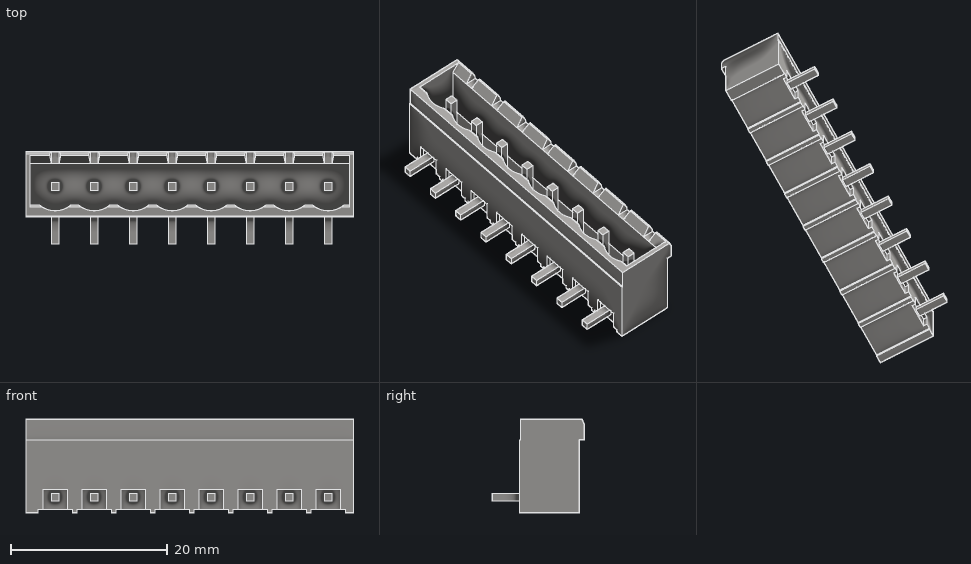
import cadquery as cq

length = 42.0
height = 12.0
lower_back = 7.7
collar_height = 2.65
collar_bottom = height - collar_height
collar_front = 0.12
collar_back = 8.35
back_bevel_depth = 0.3
back_bevel_height = 0.7

pin_count = 8
pitch = 5.0
first_pin_x = 3.75
pin_width = 1.0
pin_y = 3.9
pin_top = 10.4
tail_z = 2.0
tail_tip_y = -3.5
pin_positions = [first_pin_x + pitch * i for i in range(pin_count)]

end_wall = 0.55
cavity_floor = 4.0
cavity_front = 1.5
cavity_back = 6.85
scallop_radius = 3.12
front_lead_in_depth = 0.25
front_lead_in_height = 0.3
back_lip = 0.5
back_slope_bottom = 10.9

slot_bottom_width = 1.0
slot_top_width = 1.4

pocket_width = 3.1
pocket_top = 2.95
pocket_depth = 0.5
foot_width = 0.6
foot_height = 0.4

overcut = 1.0


def box(x_range, y_range, z_range):
    """Box given by its two limits along each axis."""
    limits = (x_range, y_range, z_range)
    sizes = [high - low for low, high in limits]
    corner = tuple(low for low, high in limits)
    return cq.Workplane("XY").box(*sizes, centered=False).translate(corner)


def around(center, width):
    """Limits of a span of the given width about its center."""
    return (center - width / 2, center + width / 2)


def extrude_profile(points, x_range):
    """Prism along X from a list of (Y, Z) points."""
    start, end = x_range
    return cq.Workplane("YZ").workplane(offset=start).polyline(points).close().extrude(end - start)


def make_housing():
    outline = [
        (0, 0),
        (0, collar_bottom),
        (collar_front, collar_bottom),
        (collar_front, height),
        (collar_back - back_bevel_depth, height),
        (collar_back, height - back_bevel_height),
        (collar_back, collar_bottom),
        (lower_back, collar_bottom),
        (lower_back, 0),
    ]
    return extrude_profile(outline, (0, length))


def make_scallop(x):
    """Round relief in the front wall, centered on a contact and kept to the front of it."""
    depth = height - cavity_floor
    cylinder = cq.Workplane("XY", origin=(x, pin_y, cavity_floor)).circle(scallop_radius).extrude(depth)
    front_part = box((end_wall, length - end_wall), (0, pin_y), (cavity_floor, height))
    return cylinder.intersect(front_part)


def make_cavity():
    outline = [
        (cavity_front, cavity_floor),
        (cavity_front, height - front_lead_in_height),
        (cavity_front - front_lead_in_depth, height),
        (collar_back - back_lip, height),
        (cavity_back, back_slope_bottom),
        (cavity_back, cavity_floor),
    ]
    cavity = extrude_profile(outline, (end_wall, length - end_wall))
    for x in pin_positions:
        cavity = cavity.union(make_scallop(x))
    return cavity


def make_back_slot(x):
    bottom_left, bottom_right = around(x, slot_bottom_width)
    top_left, top_right = around(x, slot_top_width)
    outline = [
        (bottom_left, back_slope_bottom),
        (bottom_right, back_slope_bottom),
        (top_right, height),
        (top_left, height),
    ]
    slot = cq.Workplane("XZ", origin=(0, collar_back, 0)).polyline(outline).close()
    return slot.extrude(collar_back - cavity_back)


def make_tail_pocket(x):
    return box(around(x, pocket_width), (-overcut, pocket_depth), (-overcut, pocket_top))


def make_foot_gap(x):
    y_range = (-overcut, lower_back + overcut)
    return box(around(x, pitch - foot_width), y_range, (-overcut, foot_height))


def make_pin(x):
    """Right-angle contact: a vertical post joined to a horizontal tail."""
    x_range = around(x, pin_width)
    tail_bottom = tail_z - pin_width / 2
    tail_top = tail_z + pin_width / 2
    post = box(x_range, around(pin_y, pin_width), (tail_bottom, pin_top))
    tail = box(x_range, (tail_tip_y, pin_y), (tail_bottom, tail_top))
    return post.union(tail)


result = make_housing().cut(make_cavity())
for x in pin_positions:
    result = result.cut(make_back_slot(x))
    result = result.cut(make_tail_pocket(x))
    result = result.cut(make_foot_gap(x))
for x in pin_positions:
    result = result.union(make_pin(x))